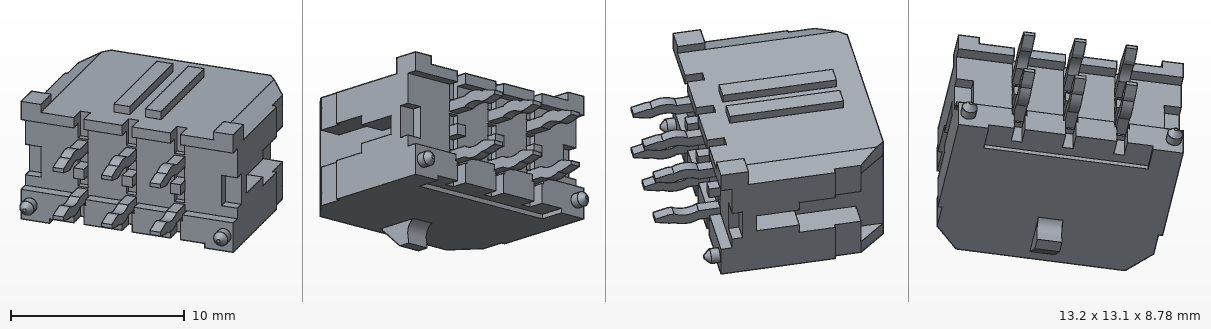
import cadquery as cq


WIDTH = 13.15
LENGTH = 9.92
HEIGHT = 6.88
HALF_WIDTH = WIDTH / 2
SHOULDER_INSET = 0.24
SHOULDER_Y = 6.75
CORNER_INSET = 1.63
CORNER_Y = 8.3
SLOPE_WIDTH = 1.22
SLOPE_DROP = 0.46

RAISED_HEIGHT = 0.5
EAR_LENGTH = 1.62
RIB_WIDTH = 0.99
RIB_SPACING = 1.95
RIB_END_Y = 8.31

RECESS_STEPS = [
    (CORNER_Y, LENGTH, 0.79, 5.89),
    (4.62, CORNER_Y, 2.33, 4.55),
    (2.1, 4.62, 2.88, 4.0),
]
POCKET_WIDTH = 0.99
POCKET_END_Y = 1.28
POCKET_BOTTOM = 2.51
POCKET_TOP = 4.42

WALL_Y = 0.66
LEDGE_TOP = 1.85
LIP_BOTTOM = 6.23
BASE_NOTCH_WIDTH = 9.63
BASE_NOTCH_HEIGHT = 0.28
BASE_NOTCH_LENGTH = EAR_LENGTH

COLUMN_PITCH = 3.0
ROW_PITCH = 3.01
COLUMN_XS = [-COLUMN_PITCH, 0.0, COLUMN_PITCH]
ROWS_MID_Z = 3.4
LOWER_ROW_Z = ROWS_MID_Z - ROW_PITCH / 2
UPPER_ROW_Z = ROWS_MID_Z + ROW_PITCH / 2
PIN_SIZE = 0.65
PIN_HALF = PIN_SIZE / 2
BEND_START_Y = -0.62
BEND_END_Y = -2.06
BEND_RISE = 0.18
TAPER_Y = -2.34
TIP_Y = -3.17
TIP_HALF = 0.12

SLOT_WIDTH = 0.62
SLOT_END_Y = 1.03
PIN_MARGIN = 0.1

PEG_X = 6.01
PEG_Z = 0.97
PEG_RADIUS = 0.43
PEG_TIP_RADIUS = 0.1
PEG_STRAIGHT = 0.53
PEG_LENGTH = 0.88

LATCH_WIDTH = 1.45
LATCH_DEPTH = 1.4
LATCH_RAMP_TOP_Y = 9.36
LATCH_RAMP_FOOT_Y = 7.73
LATCH_FOOT_Y = 6.97
LATCH_NECK = (7.05, -0.84)
LATCH_ROOT_MID = (6.95, -0.35)
LATCH_ROOT_Y = 6.55


def box(x0, x1, y0, y1, z0, z1):
    return cq.Workplane("XY").box(x1 - x0, y1 - y0, z1 - z0, centered=False).translate((x0, y0, z0))


def centred_box(x, width, y0, y1, z0, z1):
    return box(x - width / 2, x + width / 2, y0, y1, z0, z1)


def with_mirror(shape):
    return shape.union(shape.mirror("YZ"))


def make_shell():
    """Plan outline with chamfered corners, trimmed by the sloping top edges."""
    half_plan = [
        (0, 0),
        (HALF_WIDTH, 0),
        (HALF_WIDTH, SHOULDER_Y),
        (HALF_WIDTH - SHOULDER_INSET, SHOULDER_Y),
        (HALF_WIDTH - SHOULDER_INSET, CORNER_Y),
        (HALF_WIDTH - CORNER_INSET, LENGTH),
        (0, LENGTH),
    ]
    plan = cq.Workplane("XY").polyline(half_plan).close().extrude(HEIGHT)
    slope = (
        cq.Workplane("XZ", origin=(0, EAR_LENGTH, 0))
        .moveTo(HALF_WIDTH - SLOPE_WIDTH, HEIGHT)
        .lineTo(HALF_WIDTH, HEIGHT)
        .lineTo(HALF_WIDTH, HEIGHT - SLOPE_DROP)
        .close()
        .extrude(-(LENGTH - EAR_LENGTH))
    )
    return with_mirror(plan.cut(slope))


def make_ears():
    ear = box(HALF_WIDTH - SLOPE_WIDTH, HALF_WIDTH, 0, EAR_LENGTH, LIP_BOTTOM, HEIGHT + RAISED_HEIGHT)
    return with_mirror(ear)


def make_ribs():
    rib = centred_box(RIB_SPACING / 2, RIB_WIDTH, EAR_LENGTH, RIB_END_Y, HEIGHT, HEIGHT + RAISED_HEIGHT)
    return with_mirror(rib)


def make_side_cuts():
    """Stepped guide recess open at the mating end, and a pocket sunk into the solder-side wall."""
    cuts = box(HALF_WIDTH - POCKET_WIDTH, HALF_WIDTH, WALL_Y, POCKET_END_Y, POCKET_BOTTOM, POCKET_TOP)
    for y0, y1, z0, z1 in RECESS_STEPS:
        cuts = cuts.union(box(HALF_WIDTH - CORNER_INSET, HALF_WIDTH, y0, y1, z0, z1))
    return with_mirror(cuts)


def make_solder_side_cuts():
    """Step between lip and ledge, the notch in the base and the slots of every terminal column."""
    cuts = box(-HALF_WIDTH, HALF_WIDTH, 0, WALL_Y, LEDGE_TOP, LIP_BOTTOM)
    cuts = cuts.union(centred_box(0, BASE_NOTCH_WIDTH, 0, BASE_NOTCH_LENGTH, 0, BASE_NOTCH_HEIGHT))
    margin_half = PIN_HALF + PIN_MARGIN
    slot_spans = [
        (0, LOWER_ROW_Z - margin_half),
        (LOWER_ROW_Z + margin_half, UPPER_ROW_Z - margin_half),
        (UPPER_ROW_Z + margin_half, HEIGHT),
    ]
    for x in COLUMN_XS:
        for z0, z1 in slot_spans:
            cuts = cuts.union(centred_box(x, SLOT_WIDTH, 0, SLOT_END_Y, z0, z1))
        ledge_notch = centred_box(x, 2 * margin_half, 0, WALL_Y, LOWER_ROW_Z - margin_half, LEDGE_TOP)
        cuts = cuts.union(ledge_notch)
    return cuts


def make_stub(x):
    """Square stub between the two pins of a column, level with the ledge face."""
    return centred_box(x, PIN_SIZE, 0, SLOT_END_Y, ROWS_MID_Z - PIN_HALF, ROWS_MID_Z + PIN_HALF)


def make_pegs():
    """Round pegs with conical tips, pointing out of the ledge face."""
    half_profile = [
        (0, 0),
        (PEG_RADIUS, 0),
        (PEG_RADIUS, -PEG_STRAIGHT),
        (PEG_TIP_RADIUS, -PEG_LENGTH),
        (0, -PEG_LENGTH),
    ]
    peg = (
        cq.Workplane("XY")
        .polyline(half_profile)
        .close()
        .revolve(360, (0, 0, 0), (0, 1, 0))
        .translate((PEG_X, 0, PEG_Z))
    )
    return with_mirror(peg)


def make_latch():
    return (
        cq.Workplane("YZ", origin=(-LATCH_WIDTH / 2, 0, 0))
        .moveTo(LATCH_RAMP_TOP_Y, 0)
        .lineTo(LATCH_RAMP_FOOT_Y, -LATCH_DEPTH)
        .lineTo(LATCH_FOOT_Y, -LATCH_DEPTH)
        .lineTo(*LATCH_NECK)
        .threePointArc(LATCH_ROOT_MID, (LATCH_ROOT_Y, 0))
        .close()
        .extrude(LATCH_WIDTH)
    )


def make_housing():
    body = make_shell().union(make_ears()).union(make_ribs())
    body = body.cut(make_side_cuts()).cut(make_solder_side_cuts())
    for x in COLUMN_XS:
        body = body.union(make_stub(x))
    return body.union(make_pegs()).union(make_latch()).solids()


def make_pin(x, z, bend):
    """Solder pin butting on the wall; bend is +1 for an upward and -1 for a downward bow."""
    bend_mid_y = (BEND_START_Y + BEND_END_Y) / 2
    rise = bend * BEND_RISE
    return (
        cq.Workplane("YZ", origin=(x - PIN_HALF, 0, z))
        .moveTo(WALL_Y, PIN_HALF)
        .lineTo(BEND_START_Y, PIN_HALF)
        .threePointArc((bend_mid_y, PIN_HALF + rise), (BEND_END_Y, PIN_HALF))
        .lineTo(TAPER_Y, PIN_HALF)
        .lineTo(TIP_Y, TIP_HALF)
        .lineTo(TIP_Y, -TIP_HALF)
        .lineTo(TAPER_Y, -PIN_HALF)
        .lineTo(BEND_END_Y, -PIN_HALF)
        .threePointArc((bend_mid_y, -PIN_HALF + rise), (BEND_START_Y, -PIN_HALF))
        .lineTo(WALL_Y, -PIN_HALF)
        .close()
        .extrude(PIN_SIZE)
    )


housing = make_housing()

pins = []
for column_x in COLUMN_XS:
    pins.append(make_pin(column_x, LOWER_ROW_Z, -1).val())
    pins.append(make_pin(column_x, UPPER_ROW_Z, 1).val())

result = cq.Compound.makeCompound([housing.val(), *pins])